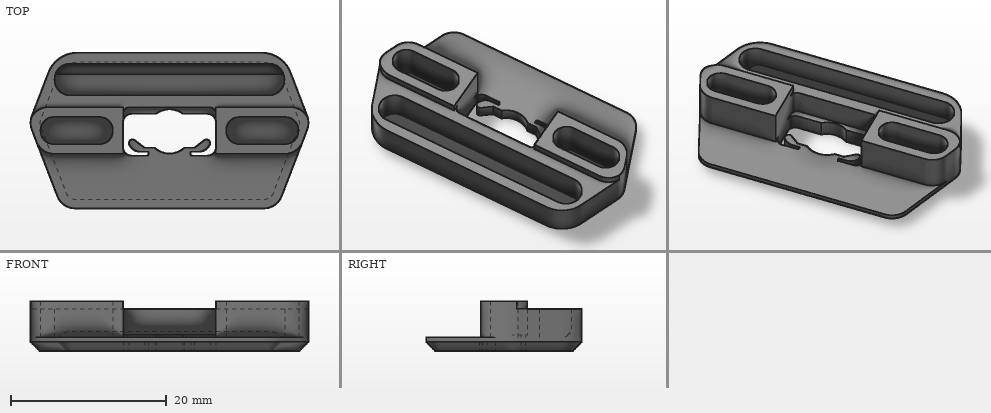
import cadquery as cq
import math

LENGTH = 35.66
DEPTH = 20.0
HEIGHT = 6.4

SIDE_ANGLE = math.radians(21.0)
TIP_Y = 1.0
TIP_RADIUS = 2.5
REAR_RADIUS = 4.0
FRONT_RADIUS = 2.5

PLATE_TOP = 1.8
LEDGE_TOP = 2.1
REAR_TOP = 5.4
BOTTOM_CHAMFER = 1.2

PAD_HALF_DEPTH = 3.0
PAD_INNER_X = 5.95
PAD_RADIUS = 2.5
PAD_POCKET_FLOOR = 1.2
PAD_POCKET_WIDTH = 3.5
PAD_POCKET_LENGTH = 9.3
PAD_POCKET_X = 11.9

SLOT_LENGTH = 29.5
SLOT_WIDTH = 4.1
SLOT_Y = 6.55
SLOT_FLOOR = 1.2
SLOT_SLOPE = 1.35

RECESS_RADIUS = 0.85
WINDOW_REAR_Y = 2.13
WINDOW_FRONT_Y = -3.2
WINDOW_RADIUS = 1.05
BORE_RADIUS = 2.83
BORE_Y = -0.11

TONGUE_TOP_Y = -2.2
FINGER_ROOT_X = 3.2
FINGER_TIP_X = 4.75
FINGER_TIP_Y = -1.6
FINGER_TIP_RADIUS = 0.47
FINGER_LOWER_ANGLE = math.radians(-25.0)
FINGER_BELLY_X = 3.6
SLIT_END_X = 2.7
SLIT_TOP_Y = -2.74
SLIT_RADIUS = 0.2


def rounded_polygon(corners):
    """Closed wire through (x, y, radius) corners; a radius of 0 keeps the corner sharp."""
    stops = []
    for i, (x, y, radius) in enumerate(corners):
        corner = cq.Vector(x, y)
        before = cq.Vector(*corners[i - 1][:2])
        after = cq.Vector(*corners[(i + 1) % len(corners)][:2])
        to_before = (before - corner).normalized()
        to_after = (after - corner).normalized()
        half_angle = to_before.getAngle(to_after) / 2
        tangent = radius / math.tan(half_angle)
        bisector = (to_before + to_after).normalized()
        middle = corner + bisector * (radius / math.sin(half_angle) - radius)
        stops.append((corner + to_before * tangent, middle, corner + to_after * tangent, radius))

    sketch = cq.Workplane("XY").moveTo(*stops[0][2].toTuple()[:2])
    for start, middle, end, radius in stops[1:] + stops[:1]:
        sketch = sketch.lineTo(start.x, start.y)
        if radius > 0:
            sketch = sketch.threePointArc((middle.x, middle.y), (end.x, end.y))
    return sketch.close()


def side_x(y):
    """X of the sharp, unrounded right side at a given Y."""
    tip_x = LENGTH / 2 + TIP_RADIUS * (1 / math.cos(SIDE_ANGLE) - 1)
    return tip_x - abs(y - TIP_Y) * math.tan(SIDE_ANGLE)


def outline_prism(height):
    half = DEPTH / 2
    right = [
        (side_x(-half), -half, FRONT_RADIUS),
        (side_x(TIP_Y), TIP_Y, TIP_RADIUS),
        (side_x(half), half, REAR_RADIUS),
    ]
    left = [(-x, y, radius) for x, y, radius in reversed(right)]
    return rounded_polygon(right + left).extrude(height)


def block(x_range, y_range, z_range):
    (x0, x1), (y0, y1), (z0, z1) = x_range, y_range, z_range
    return cq.Workplane("XY").box(x1 - x0, y1 - y0, z1 - z0, centered=False).translate((x0, y0, z0))


def rounded_window(front_y, rear_y, radius, z_range):
    """Prism spanning the gap between the pads."""
    corners = [
        (-PAD_INNER_X, front_y, radius),
        (PAD_INNER_X, front_y, radius),
        (PAD_INNER_X, rear_y, radius),
        (-PAD_INNER_X, rear_y, radius),
    ]
    return rounded_polygon(corners).extrude(z_range[1] - z_range[0]).translate((0, 0, z_range[0]))


def base_plate():
    return outline_prism(PLATE_TOP).faces("<Z").chamfer(BOTTOM_CHAMFER)


def rear_block():
    """Block behind the tips, with a round-cornered recess that leaves a ledge between the pads."""
    behind_tips = block((-LENGTH, LENGTH), (TIP_Y, DEPTH), (PLATE_TOP, REAR_TOP))
    recess = rounded_window(-PAD_HALF_DEPTH, PAD_HALF_DEPTH, RECESS_RADIUS, (LEDGE_TOP, HEIGHT))
    return outline_prism(REAR_TOP).intersect(behind_tips).cut(recess)


def right_pad():
    """Pad with rounded outer corners, trimmed to the plate outline."""
    corners = [
        (PAD_INNER_X, -PAD_HALF_DEPTH, 0),
        (side_x(-PAD_HALF_DEPTH), -PAD_HALF_DEPTH, PAD_RADIUS),
        (side_x(TIP_Y), TIP_Y, 0),
        (side_x(PAD_HALF_DEPTH), PAD_HALF_DEPTH, PAD_RADIUS),
        (PAD_INNER_X, PAD_HALF_DEPTH, 0),
    ]
    body = rounded_polygon(corners).extrude(HEIGHT - PLATE_TOP).translate((0, 0, PLATE_TOP))
    return body.intersect(outline_prism(HEIGHT))


def pad_pocket_cutters():
    return (
        cq.Workplane("XY", origin=(0, 0, PAD_POCKET_FLOOR))
        .pushPoints([(-PAD_POCKET_X, 0), (PAD_POCKET_X, 0)])
        .slot2D(PAD_POCKET_LENGTH, PAD_POCKET_WIDTH)
        .extrude(HEIGHT)
    )


def slot_cutter():
    cutter = (
        cq.Workplane("XY", origin=(0, SLOT_Y, SLOT_FLOOR))
        .slot2D(SLOT_LENGTH, SLOT_WIDTH)
        .extrude(HEIGHT)
    )
    back_y = SLOT_Y + SLOT_WIDTH / 2
    slope = (
        cq.Workplane("YZ", origin=(-LENGTH / 2, 0, 0))
        .moveTo(back_y - SLOT_SLOPE, SLOT_FLOOR)
        .lineTo(back_y, SLOT_FLOOR)
        .lineTo(back_y, SLOT_FLOOR + SLOT_SLOPE)
        .close()
        .extrude(LENGTH)
    )
    return cutter.cut(slope)


def right_half_tongue():
    """Right half of the tongue: a straight bar with a curved spring finger at its end."""
    root = cq.Vector(FINGER_ROOT_X, TONGUE_TOP_Y)
    tip = cq.Vector(FINGER_TIP_X, FINGER_TIP_Y)
    to_root = root - tip
    root_direction = math.atan2(to_root.y, to_root.x)
    tangent_angle = root_direction + 2 * math.pi - math.acos(FINGER_TIP_RADIUS / to_root.Length)

    def on_tip(angle):
        x = FINGER_TIP_X + FINGER_TIP_RADIUS * math.cos(angle)
        y = FINGER_TIP_Y + FINGER_TIP_RADIUS * math.sin(angle)
        return x, y

    return (
        cq.Workplane("XY")
        .moveTo(0, TONGUE_TOP_Y)
        .lineTo(FINGER_ROOT_X, TONGUE_TOP_Y)
        .lineTo(*on_tip(tangent_angle))
        .threePointArc(on_tip((tangent_angle + FINGER_LOWER_ANGLE) / 2), on_tip(FINGER_LOWER_ANGLE))
        .tangentArcPoint((FINGER_BELLY_X, SLIT_TOP_Y), relative=False)
        .lineTo(SLIT_END_X, SLIT_TOP_Y)
        .lineTo(SLIT_END_X, WINDOW_FRONT_Y + SLIT_RADIUS)
        .radiusArc((SLIT_END_X + SLIT_RADIUS, WINDOW_FRONT_Y), -SLIT_RADIUS)
        .lineTo(0, WINDOW_FRONT_Y)
        .close()
        .extrude(HEIGHT)
    )


def window_cutter():
    opening = rounded_window(WINDOW_FRONT_Y, WINDOW_REAR_Y, WINDOW_RADIUS, (0, HEIGHT))
    half_tongue = right_half_tongue()
    opening = opening.cut(half_tongue).cut(half_tongue.mirror("YZ"))
    bore = cq.Workplane("XY").center(0, BORE_Y).circle(BORE_RADIUS).extrude(HEIGHT)
    return opening.union(bore)


pad = right_pad()
body = base_plate().union(rear_block()).union(pad).union(pad.mirror("YZ"))
result = body.cut(window_cutter()).cut(slot_cutter()).cut(pad_pocket_cutters())